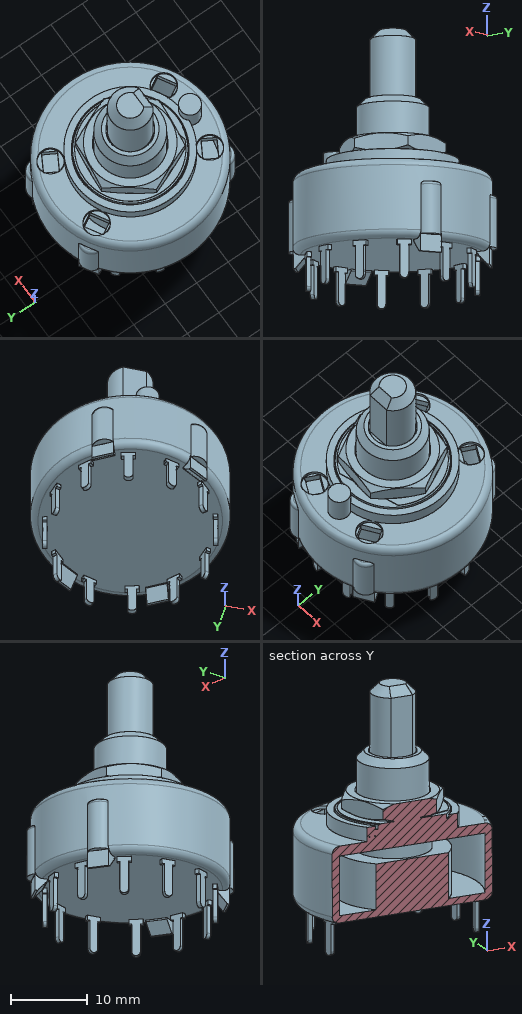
import cadquery as cq
import math


case_diameter = 26.0
case_height = 10.55
case_edge_radius = 1.0
cavity_diameter = case_diameter - 2 * case_edge_radius
cavity_floor = 1.05
hub_diameter = 10.25
disc_diameter = 15.3
disc_top = 7.3

collar_diameter = 17.3
collar_top = 12.5
washer_pocket_diameter = 15.3
washer_pocket_depth = 0.5
washer_diameter = 15.0
washer_top = 12.63
washer_pad_diameter = 14.48
washer_pad_flat_offset = 5.65
washer_pad_flat_angle = -76.2
washer_pad_top = 12.7

nut_across_flats = 12.35
nut_height = 2.4
nut_bore_diameter = 9.8
nut_first_corner_angle = 53.4
nut_chamfer_circle_diameter = 12.18
nut_chamfer_angle = 30.0
nut_top = washer_pad_top + nut_height

bushing_diameter = 9.5
bushing_top = 20.5
bushing_chamfer = 1.0
bushing_bore_diameter = 6.35
bushing_bore_depth = 0.5

shaft_diameter = 6.0
shaft_top = 29.72
shaft_chamfer = 1.22
shaft_flat_offset = 2.55

peg_diameter = 3.0
peg_offset = 9.5
peg_top = 14.5

snap_angles = (60, 120, 240, 300)

window_radius = 10.4
window_recess_diameter = 3.55
window_recess_depth = 0.42
window_width = 2.85
window_length = 2.1
roof_thickness = 1.43

rib_diameter = 3.4
rib_radius = 11.97
rib_bottom = 0.55
rib_top = 7.5
rib_edge_radius = 0.45

leg_width = 2.92
leg_skew_angle = 9.0
leg_outer_radius = 12.88
leg_top_length = 1.7
leg_tip_length = 0.3
leg_drop = 1.75
leg_shoulder_drop = 0.2

pin_count = 12
pin_ring_radius = 11.1
pin_width = 1.15
pin_thickness = 0.6
pin_drop = 5.08
pin_head_width = 1.88
pin_head_drop = 0.65

embed = 0.35


def cylinder(diameter, bottom, top):
    return cq.Workplane("XY").workplane(offset=bottom).circle(diameter / 2).extrude(top - bottom)


def at_station(body, radius, angle):
    """Move a body built about the origin, +X outward, to a polar position."""
    return body.translate((radius, 0, 0)).rotate((0, 0, 0), (0, 0, 1), angle)


def make_case():
    """Rounded drum, hollow around a central disc and the hub that carries the roof."""
    case = cylinder(case_diameter, 0, case_height).edges().fillet(case_edge_radius)
    roof_underside = case_height - roof_thickness
    cavity = cylinder(cavity_diameter, cavity_floor, roof_underside)
    core = cylinder(disc_diameter, cavity_floor, disc_top).union(
        cylinder(hub_diameter, disc_top - embed, roof_underside)
    )
    return case.cut(cavity.cut(core))


def make_collar():
    collar = cylinder(collar_diameter, case_height - embed, collar_top)
    washer_seat = collar_top - washer_pocket_depth
    collar = collar.cut(cylinder(washer_pocket_diameter, washer_seat, collar_top))
    washer = cylinder(washer_diameter, washer_seat, washer_top)
    return collar.union(washer).union(make_washer_pad())


def make_washer_pad():
    """Thin raised face on the washer, round with one flat side."""
    beyond_flat = cq.Workplane("XY").box(
        washer_pad_diameter, washer_pad_diameter, washer_pad_top, centered=(False, True, False)
    )
    beyond_flat = at_station(beyond_flat, washer_pad_flat_offset, washer_pad_flat_angle)
    return cylinder(washer_pad_diameter, washer_top, washer_pad_top).cut(beyond_flat)


def make_nut():
    """Hexagon trimmed by a cone at each end, leaving chamfered corners."""
    corner_radius = nut_across_flats / math.sqrt(3)
    hexagon = (
        cq.Workplane("XY")
        .workplane(offset=washer_pad_top)
        .polygon(6, 2 * corner_radius)
        .circle(nut_bore_diameter / 2)
        .extrude(nut_height)
        .rotate((0, 0, 0), (0, 0, 1), nut_first_corner_angle)
    )
    face_radius = nut_chamfer_circle_diameter / 2
    chamfer_drop = (corner_radius - face_radius) * math.tan(math.radians(nut_chamfer_angle))
    envelope = (
        cq.Workplane("XZ")
        .moveTo(0, washer_pad_top)
        .lineTo(face_radius, washer_pad_top)
        .lineTo(corner_radius, washer_pad_top + chamfer_drop)
        .lineTo(corner_radius, nut_top - chamfer_drop)
        .lineTo(face_radius, nut_top)
        .lineTo(0, nut_top)
        .close()
        .revolve()
    )
    return hexagon.intersect(envelope)


def make_bushing():
    bushing = cylinder(bushing_diameter, case_height, bushing_top)
    bushing = bushing.faces(">Z").edges().chamfer(bushing_chamfer)
    return bushing.cut(cylinder(bushing_bore_diameter, bushing_top - bushing_bore_depth, bushing_top))


def make_shaft():
    """Chamfered round shaft, cut by a flat that has the same chamfer at its top."""
    shaft = cylinder(shaft_diameter, case_height, shaft_top).faces(">Z").edges().chamfer(shaft_chamfer)
    removed_profile = [
        (-shaft_flat_offset, bushing_top - bushing_bore_depth),
        (-shaft_flat_offset, shaft_top - shaft_chamfer),
        (shaft_chamfer - shaft_flat_offset, shaft_top),
        (-shaft_diameter, shaft_top),
        (-shaft_diameter, bushing_top - bushing_bore_depth),
    ]
    removed = cq.Workplane("YZ").polyline(removed_profile).close().extrude(shaft_diameter, both=True)
    return shaft.cut(removed)


def make_peg():
    return cylinder(peg_diameter, case_height - embed, peg_top).translate((0, -peg_offset, 0))


def make_rib():
    """Half-buried upright rib on the case wall, rounded at its top."""
    return cylinder(rib_diameter, rib_bottom, rib_top).faces(">Z").edges().fillet(rib_edge_radius)


def make_leg(skew_sign):
    """Snap leg below the case, sloped on its inner side; outer face at x = 0.

    Its two side faces are parallel and skewed from the radial direction.
    """
    profile = [
        (0, rib_bottom + embed),
        (-leg_top_length, rib_bottom + embed),
        (-leg_top_length, -leg_shoulder_drop),
        (-leg_tip_length, -leg_drop),
        (0, -leg_drop),
    ]
    skew_shift = skew_sign * leg_top_length * math.tan(math.radians(leg_skew_angle))
    plan = [
        (0, -leg_width / 2),
        (0, leg_width / 2),
        (-leg_top_length, leg_width / 2 + skew_shift),
        (-leg_top_length, -leg_width / 2 + skew_shift),
    ]
    side_profile = cq.Workplane("XZ").polyline(profile).close().extrude(leg_width, both=True)
    footprint = cq.Workplane("XY").workplane(offset=-leg_drop).polyline(plan).close()
    return side_profile.intersect(footprint.extrude(leg_drop + rib_bottom + embed))


def make_window():
    """Round recess with a rectangular opening through the case roof."""
    recess = cylinder(window_recess_diameter, case_height - window_recess_depth, case_height)
    opening = cq.Workplane("XY").box(
        window_length, window_width, roof_thickness, centered=(True, True, False)
    )
    return recess.union(opening.translate((0, 0, case_height - roof_thickness)))


def make_pin():
    """Flat terminal with a wider head and a full-round tip."""
    tip_radius = pin_width / 2
    blade = (
        cq.Workplane("YZ")
        .moveTo(-tip_radius, embed)
        .lineTo(-tip_radius, tip_radius - pin_drop)
        .threePointArc((0, -pin_drop), (tip_radius, tip_radius - pin_drop))
        .lineTo(tip_radius, embed)
        .close()
        .extrude(pin_thickness / 2, both=True)
    )
    head = cq.Workplane("XY").box(
        pin_thickness, pin_head_width, pin_head_drop + embed, centered=(True, True, False)
    )
    return blade.union(head.translate((0, 0, -pin_head_drop)))


result = make_case()
for angle in snap_angles:
    result = result.cut(at_station(make_window(), window_radius, angle))

for body in (make_collar(), make_nut(), make_bushing(), make_shaft(), make_peg()):
    result = result.union(body)

rib_clearance = cylinder(cavity_diameter, rib_bottom, rib_top)
for index, angle in enumerate(snap_angles):
    rib = at_station(make_rib(), rib_radius, angle).cut(rib_clearance)
    skew_sign = -((-1) ** index)
    leg = at_station(make_leg(skew_sign), leg_outer_radius, angle)
    result = result.union(rib).union(leg)

pin_pitch = 360 / pin_count
for index in range(pin_count):
    result = result.union(at_station(make_pin(), pin_ring_radius, pin_pitch * (index + 0.5)))